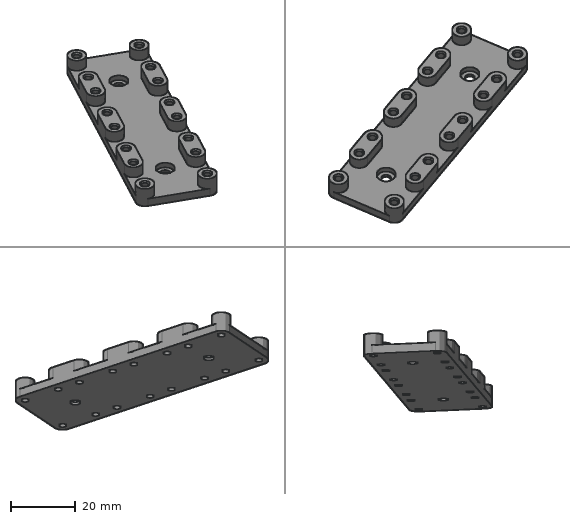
import cadquery as cq

length = 81.0
boss_diameter = 6.0
boss_radius = boss_diameter / 2
width = 26.3
plate_thickness = 2.75
total_height = 6.6

pair_spacing = 8.1
group_pitch = 20.8
corner_x = length / 2 - boss_radius
row_y = width / 2 - boss_radius
group_centers = [(step * group_pitch, side * row_y) for step in (-1, 0, 1) for side in (-1, 1)]
corner_centers = [(end * corner_x, side * row_y) for end in (-1, 1) for side in (-1, 1)]
pair_centers = [(x + end * pair_spacing / 2, y) for x, y in group_centers for end in (-1, 1)]

boss_hole_diameter = 2.3
mouth_diameter = 3.2
mouth_depth = 0.5

mount_x = 25.5
mount_hole_diameter = 3.2
mount_bore_diameter = 6.0
mount_bore_depth = 1.8


def make_plate():
    long_slab = cq.Workplane("XY").rect(length, 2 * row_y).extrude(plate_thickness)
    wide_slab = cq.Workplane("XY").rect(2 * corner_x, width).extrude(plate_thickness)
    return long_slab.union(wide_slab)


def add_bosses(body):
    corners = cq.Workplane("XY").pushPoints(corner_centers).circle(boss_radius).extrude(total_height)
    pairs = (
        cq.Workplane("XY")
        .pushPoints(group_centers)
        .slot2D(pair_spacing + boss_diameter, boss_diameter)
        .extrude(total_height)
    )
    return body.union(pairs).union(corners).clean()


def cut_boss_holes(body):
    cutter = (
        cq.Workplane("XZ")
        .lineTo(boss_hole_diameter / 2, 0)
        .lineTo(boss_hole_diameter / 2, total_height - mouth_depth)
        .lineTo(mouth_diameter / 2, total_height)
        .lineTo(0, total_height)
        .close()
        .revolve(360, (0, 0), (0, 1))
    )
    for x, y in corner_centers + pair_centers:
        body = body.cut(cutter.translate((x, y, 0)))
    return body


def cut_mounting_holes(body):
    return (
        body.copyWorkplane(cq.Workplane("XY", origin=(0, 0, plate_thickness)))
        .pushPoints([(-mount_x, 0), (mount_x, 0)])
        .cboreHole(mount_hole_diameter, mount_bore_diameter, mount_bore_depth)
    )


result = cut_mounting_holes(cut_boss_holes(add_bosses(make_plate())))